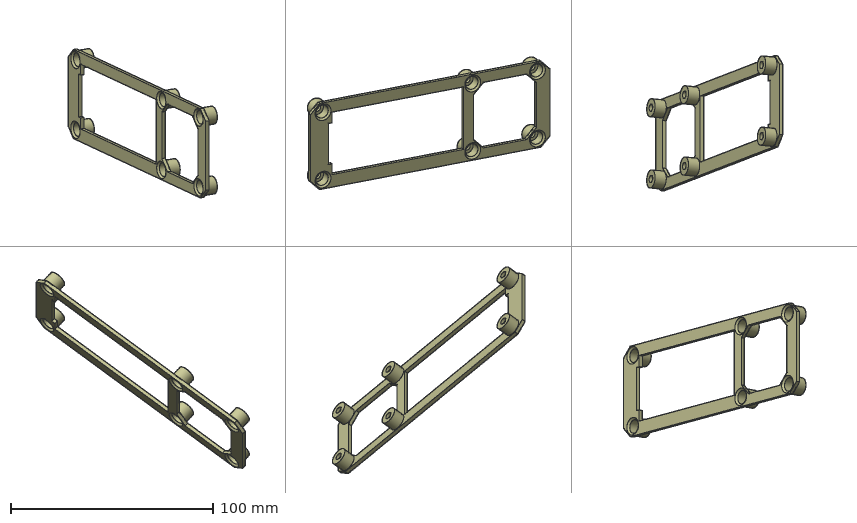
import cadquery as cq

length = 133.2
height = 46.0
thickness = 2.0
total_depth = 8.3
corner_chamfer = 5.2

boss_diameter = 9.0
screw_diameter = 3.6
bore_diameter = 6.8
floor_thickness = 2.0
column_positions = (7.0, 90.2, 126.1)
row_spacing = 36.0
lead_in_diameter = 8.8
lead_in_depth = (lead_in_diameter - bore_diameter) / 2

window_left = 12.1
window_right = 85.1
window_height = 33.3
window_center_z = height / 2 + 0.4
notch_depth = 2.0
notch_height = 22.0

square_size = 34.9
square_chamfer = 5.5
square_center_x = (column_positions[1] + column_positions[2]) / 2


def block(x_min, x_max, center_z, z_size):
    """Box through the plate thickness."""
    width = x_max - x_min
    return cq.Workplane("XY").box(width, thickness, z_size).translate(
        (x_min + width / 2, thickness / 2, center_z)
    )


def boss_cylinder(diameter, y_start, y_end):
    """One cylinder along +Y at every boss position."""
    return (
        cq.Workplane("XZ", origin=(0, y_start, 0))
        .pushPoints(boss_points)
        .circle(diameter / 2)
        .extrude(y_start - y_end)
    )


def lead_in(point):
    """Cone narrowing at 45 degrees from the front face to the bore."""
    x, z = point
    return cq.Workplane(
        cq.Solid.makeCone(
            lead_in_diameter / 2,
            bore_diameter / 2,
            lead_in_depth,
            pnt=cq.Vector(x, 0, z),
            dir=cq.Vector(0, 1, 0),
        )
    )


boss_points = [
    (x, height / 2 + side * row_spacing / 2)
    for x in column_positions
    for side in (-1, 1)
]

plate = block(0, length, height / 2, height).edges("|Y").chamfer(corner_chamfer)
long_window = block(window_left, window_right, window_center_z, window_height)
notch = block(window_left - notch_depth, window_right, window_center_z, notch_height)
square_window = block(
    square_center_x - square_size / 2,
    square_center_x + square_size / 2,
    height / 2,
    square_size,
).edges("|Y").chamfer(square_chamfer)
plate = plate.cut(long_window).cut(notch).cut(square_window)

result = plate.union(boss_cylinder(boss_diameter, 0, total_depth))
result = result.cut(boss_cylinder(bore_diameter, 0, total_depth - floor_thickness))
result = result.cut(boss_cylinder(screw_diameter, 0, total_depth))
for boss_point in boss_points:
    result = result.cut(lead_in(boss_point))